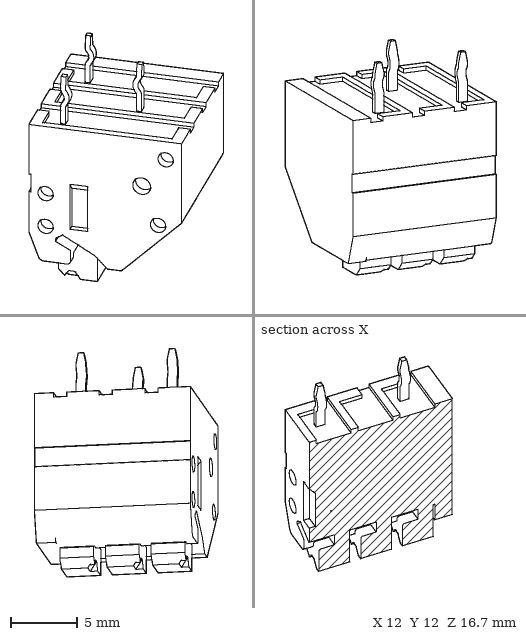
import cadquery as cq
import math


width = 12.0
depth = 12.0
total_height = 16.7
housing_bottom = 1.6
housing_top = 13.11
pole_count = 3
pole_pitch = 3.5
modules_depth = pole_count * pole_pitch

left_slope_foot = 0.87
left_slope_top = 3.95
right_slope_foot = 7.28
right_slope_top = housing_bottom + width - right_slope_foot
foot_radius = 0.5

left_groove_bottom = 7.38
left_groove_top = 8.87
left_groove_depth = 0.17

recess_depth = 0.33
top_groove_width = 1.0
top_pocket_width = 2.89
top_pocket_margin = 0.92

hole_depth = 0.82
small_hole_radius = 0.6
large_hole_radius = 0.7
small_hole_places = [(1.32, 7.38), (1.32, 4.6), (10.15, 5.9), (10.75, 11.57)]
large_hole_place = (8.87, 9.07)

window_left = 3.24
window_right = 4.63
window_bottom = 4.61
window_top = 8.45
window_depth = 0.5
window_slope_height = 0.58

opening_tip = 2.1
opening_apex = (2.64, 4.04)
opening_tip_top = 3.64
opening_tip_bottom = 3.42
lip_edge_x = 3.29
lip_edge_z = 2.8
opening_foot = 6.2
lip_radius = 0.3
lip_top_radius = 0.1

lever_offset = 0.8
lever_thickness = 2.6
lever_left = 2.1
lever_right = 5.18
lever_top = 2.2
lever_shoulder_z = 1.47
lever_shoulder_run = 0.3
lever_bevel = 0.68
lever_edge_radius = 0.2
stem_left = 2.74
stem_setback = 1.3

bite_center = 3.15
bite_height = 0.63
bite_depth = 0.57
bite_top_width = 0.47
bite_bottom_width = 1.37

pin_thickness = 0.4
pin_width = 0.75
pin_tip_width = 0.42
pin_taper_start = 15.88
pin_center_offset = 1.79
outer_pin_x = 2.1
middle_pin_x = 7.5
kink_z = 14.96
kink_bulge = 0.28
kink_inner_radius = 0.6
bend_inner_radius = 0.1


def extrude_along_y(sketch, start, length):
    """Push a closed XZ outline from y = start toward +Y."""
    return sketch.extrude(-length).translate((0, start, 0))


def polygon_along_y(points, start, length):
    return extrude_along_y(cq.Workplane("XZ").polyline(points).close(), start, length)


def box(x_range, y_range, z_range):
    spans = [high - low for low, high in (x_range, y_range, z_range)]
    corner = (x_range[0], y_range[0], z_range[0])
    return cq.Workplane("XY").box(*spans, centered=False).translate(corner)


def edge_near(x, y, z):
    return cq.selectors.NearestToPointSelector((x, y, z))


def housing_slab(start, length):
    outline = [
        (left_slope_foot, housing_bottom),
        (right_slope_foot, housing_bottom),
        (width, right_slope_top),
        (width, housing_top),
        (0, housing_top),
        (0, left_groove_top),
        (left_groove_depth, left_groove_top),
        (left_groove_depth, left_groove_bottom),
        (0, left_groove_bottom),
        (0, left_slope_top),
    ]
    return polygon_along_y(outline, start, length)


def lever_opening():
    ceiling_end_z = housing_bottom + opening_foot - lever_right
    outline = [
        (lip_edge_x, housing_bottom),
        (lip_edge_x, lip_edge_z),
        (opening_tip, opening_tip_bottom),
        (opening_tip, opening_tip_top),
        opening_apex,
        (lever_right, ceiling_end_z),
        (opening_foot, housing_bottom),
    ]
    return polygon_along_y(outline, 0, modules_depth)


def housing_modules():
    middle = modules_depth / 2
    modules = housing_slab(0, modules_depth)
    modules = modules.edges(edge_near(left_slope_foot, middle, housing_bottom)).fillet(foot_radius)
    modules = modules.cut(lever_opening())
    modules = modules.edges(edge_near(lip_edge_x, middle, housing_bottom)).fillet(lip_radius)
    return modules.edges(edge_near(lip_edge_x, middle, lip_edge_z)).fillet(lip_top_radius)


def top_recess(pole_start):
    """Full-width groove at the back of a pole, widened by a shorter pocket toward the front."""
    back = pole_start + pole_pitch
    heights = (housing_top - recess_depth, housing_top)
    groove = box((0, width), (back - top_groove_width, back), heights)
    pocket_span = (top_pocket_margin, width - top_pocket_margin)
    return groove.union(box(pocket_span, (back - top_pocket_width, back), heights))


def front_holes():
    small = cq.Workplane("XZ").pushPoints(small_hole_places).circle(small_hole_radius)
    large = cq.Workplane("XZ").center(*large_hole_place).circle(large_hole_radius)
    return extrude_along_y(small, 0, hole_depth).union(extrude_along_y(large, 0, hole_depth))


def front_window():
    """Shallow rectangular window whose upper wall slopes inward."""
    profile = [
        (0, window_bottom),
        (window_depth, window_bottom),
        (window_depth, window_top - window_slope_height),
        (0, window_top),
    ]
    prism = cq.Workplane("YZ").polyline(profile).close().extrude(window_right - window_left)
    return prism.translate((window_left, 0, 0))


def lever_bite(front):
    """Tapered bite in the lower front edge of a lever, with a floor sloping inward."""
    half_top = bite_top_width / 2
    half_bottom = bite_bottom_width / 2
    outline = [
        (bite_center - half_bottom, 0),
        (bite_center - half_top, bite_height),
        (bite_center + half_top, bite_height),
        (bite_center + half_bottom, 0),
    ]
    wedge_profile = [(front, 0), (front + bite_depth, 0), (front, bite_height)]
    wedge = cq.Workplane("YZ").polyline(wedge_profile).close().extrude(width)
    return polygon_along_y(outline, front, bite_depth).intersect(wedge)


def lever(pole_start):
    front = pole_start + lever_offset
    outline = [
        (lever_left + lever_bevel, 0),
        (lever_right, 0),
        (lever_right, lever_top),
        (lip_edge_x - lip_radius, lever_top),
        (lip_edge_x - lip_radius, housing_bottom),
        (lever_left + lever_shoulder_run, housing_bottom),
        (lever_left, lever_shoulder_z),
        (lever_left, lever_bevel),
    ]
    foot = polygon_along_y(outline, front, lever_thickness)
    foot = foot.edges(edge_near((lip_edge_x + lever_right) / 2, front, lever_top)).fillet(lever_edge_radius)
    stem_depths = (front + stem_setback, front + lever_thickness)
    stem = box((stem_left, lever_right), stem_depths, (housing_bottom, opening_apex[1]))
    stem = stem.edges("|Z and <X and <Y").fillet(lever_edge_radius)
    return foot.cut(lever_bite(front)).union(stem)


def kinked_strip():
    """Flat strip with an S-shaped kink; its left face is at x = 0 and the kink bulges to +X."""
    kink_outer_radius = kink_inner_radius + pin_thickness
    bend_outer_radius = bend_inner_radius + pin_thickness
    center_distance = kink_outer_radius + bend_inner_radius
    angle = math.acos(1 - kink_bulge / center_distance)
    kink_center_x = pin_thickness + kink_bulge - kink_outer_radius
    bend_center_x = pin_thickness + bend_inner_radius
    bend_rise = center_distance * math.sin(angle)

    def on_kink(radius, turn):
        return (kink_center_x + radius * math.cos(turn), kink_z + radius * math.sin(turn))

    def on_bend(radius, turn, side):
        rise = bend_rise - radius * math.sin(turn)
        return (bend_center_x - radius * math.cos(turn), kink_z + side * rise)

    strip_bottom = housing_top - recess_depth
    outline = (
        cq.Workplane("XZ")
        .moveTo(0, strip_bottom)
        .lineTo(*on_bend(bend_outer_radius, 0, -1))
        .threePointArc(on_bend(bend_outer_radius, angle / 2, -1), on_kink(kink_inner_radius, -angle))
        .threePointArc(on_kink(kink_inner_radius, 0), on_kink(kink_inner_radius, angle))
        .threePointArc(on_bend(bend_outer_radius, angle / 2, 1), on_bend(bend_outer_radius, 0, 1))
        .lineTo(0, total_height)
        .lineTo(pin_thickness, total_height)
        .lineTo(*on_bend(bend_inner_radius, 0, 1))
        .threePointArc(on_bend(bend_inner_radius, angle / 2, 1), on_kink(kink_outer_radius, angle))
        .threePointArc(on_kink(kink_outer_radius, 0), on_kink(kink_outer_radius, -angle))
        .threePointArc(on_bend(bend_inner_radius, angle / 2, -1), on_bend(bend_inner_radius, 0, -1))
        .lineTo(pin_thickness, strip_bottom)
        .close()
    )
    return extrude_along_y(outline, -pin_width / 2, pin_width)


def pin():
    """Kinked strip narrowed to a tapered tip in Y."""
    half_width = pin_width / 2
    half_tip = pin_tip_width / 2
    silhouette = [
        (-half_width, 0),
        (half_width, 0),
        (half_width, pin_taper_start),
        (half_tip, total_height),
        (-half_tip, total_height),
        (-half_width, pin_taper_start),
    ]
    tapered = cq.Workplane("YZ").polyline(silhouette).close().extrude(width, both=True)
    return kinked_strip().intersect(tapered)


result = housing_modules().union(housing_slab(modules_depth, depth - modules_depth))
result = result.cut(front_holes()).cut(front_window())

for pole in range(pole_count):
    pole_start = pole * pole_pitch
    pin_y = pole_start + pin_center_offset
    result = result.cut(top_recess(pole_start)).union(lever(pole_start))
    if pole % 2 == 0:
        placed_pin = pin().translate((outer_pin_x, pin_y, 0))
    else:
        placed_pin = pin().mirror("YZ").translate((middle_pin_x, pin_y, 0))
    result = result.union(placed_pin)